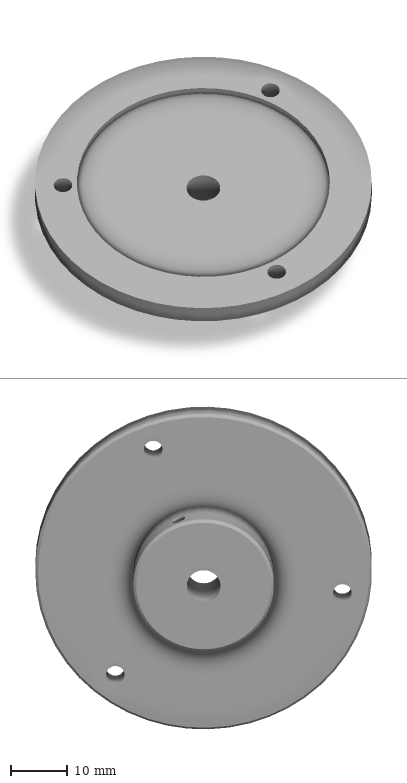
import cadquery as cq

disc_diameter = 59.9
disc_thickness = 4.0
edge_chamfer = 0.5

hub_diameter = 25.0
total_height = 11.0
hub_height = total_height - disc_thickness

recess_diameter = 45.0
recess_depth = 1.5
bore_diameter = 6.0

mount_hole_count = 3
mount_hole_diameter = 3.3
mount_circle_radius = 25.0
first_hole_angle = 90

screw_hole_diameter = 2.5
screw_hole_height = 2.5


def make_body():
    """Disc on a hub, with the lower outer edge of each chamfered; the hub stands on Z = 0."""
    hub = cq.Workplane("XY").circle(hub_diameter / 2).extrude(hub_height)
    disc = (
        cq.Workplane("XY", origin=(0, 0, hub_height))
        .circle(disc_diameter / 2)
        .extrude(disc_thickness)
    )
    return hub.faces("<Z").chamfer(edge_chamfer).union(disc.faces("<Z").chamfer(edge_chamfer))


def cut_recess_and_bore(body):
    top = cq.Workplane("XY", origin=(0, 0, total_height))
    recess = top.circle(recess_diameter / 2).extrude(-recess_depth)
    bore = top.circle(bore_diameter / 2).extrude(-total_height)
    return body.cut(recess).cut(bore)


def cut_mount_holes(body):
    holes = (
        cq.Workplane("XY", origin=(0, 0, total_height))
        .polarArray(mount_circle_radius, first_hole_angle, 360, mount_hole_count)
        .circle(mount_hole_diameter / 2)
        .extrude(-disc_thickness)
    )
    return body.cut(holes)


def cut_screw_hole(body):
    """Drill from the +Y side of the hub into the bore."""
    screw_hole = (
        cq.Workplane("XZ", origin=(0, 0, screw_hole_height))
        .circle(screw_hole_diameter / 2)
        .extrude(-hub_diameter / 2)
    )
    return body.cut(screw_hole)


result = cut_screw_hole(cut_mount_holes(cut_recess_and_bore(make_body())))